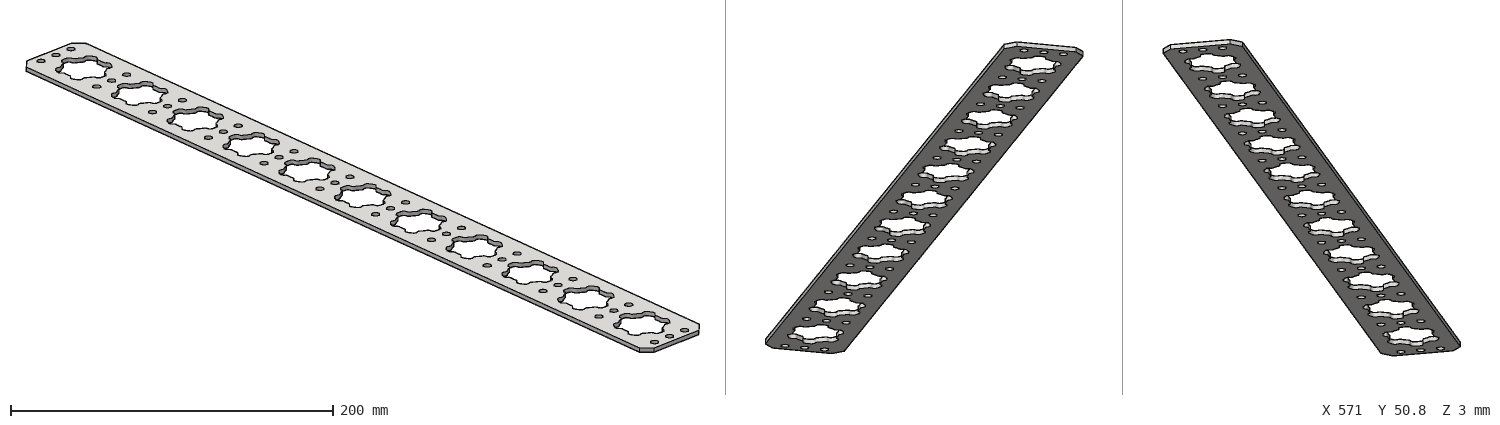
import cadquery as cq
import math

hole_pitch = 50.8
window_count = 11

plate_length = 570.99
plate_width = 50.8
plate_thickness = 3.0
corner_chamfer = 6.35

screw_hole_diameter = 5.0
screw_row_spacing = 12.7

window_radius = 14.3
lobe_count = 6
lobe_width = 8.0
lobe_tip_radius = 17.6
lobe_corner_radius = 2.5
lobe_root_radius = 2.0


def station_positions(count):
    """X positions of features spaced one pitch apart and centred on the plate."""
    return [(i - (count - 1) / 2) * hole_pitch for i in range(count)]


def make_plate():
    plate = cq.Workplane("XY").box(
        plate_length, plate_width, plate_thickness, centered=(True, True, False)
    )
    return plate.edges("|Z").chamfer(corner_chamfer)


def make_screw_holes():
    row_count = window_count + 1
    centres = [
        (x, row * screw_row_spacing)
        for x in station_positions(row_count)
        for row in (-1, 0, 1)
    ]
    return (
        cq.Workplane("XY")
        .pushPoints(centres)
        .circle(screw_hole_diameter / 2)
        .extrude(plate_thickness)
    )


def disc(radius):
    return cq.Workplane("XY").circle(radius).extrude(plate_thickness)


def make_lobe_bar():
    """Bar across the window that forms two opposite lobes, with its four tip corners rounded."""
    bar = cq.Workplane("XY").box(
        2 * lobe_tip_radius, lobe_width, plate_thickness, centered=(True, True, False)
    )
    return bar.intersect(disc(lobe_tip_radius)).edges("|Z").fillet(lobe_corner_radius)


def make_window():
    """Cutter for one lobed window, centred on the origin with a lobe on the X axis."""
    window = disc(window_radius)
    lobe_bar = make_lobe_bar()
    for i in range(lobe_count // 2):
        window = window.union(lobe_bar.rotate((0, 0, 0), (0, 0, 1), i * 360 / lobe_count))

    root_edges = [
        edge
        for edge in window.edges("|Z").vals()
        if math.isclose(math.hypot(edge.Center().x, edge.Center().y), window_radius, abs_tol=0.01)
    ]
    return window.newObject(root_edges).fillet(lobe_root_radius)


result = make_plate().cut(make_screw_holes())
window = make_window()
for x in station_positions(window_count):
    result = result.cut(window.translate((x, 0, 0)))